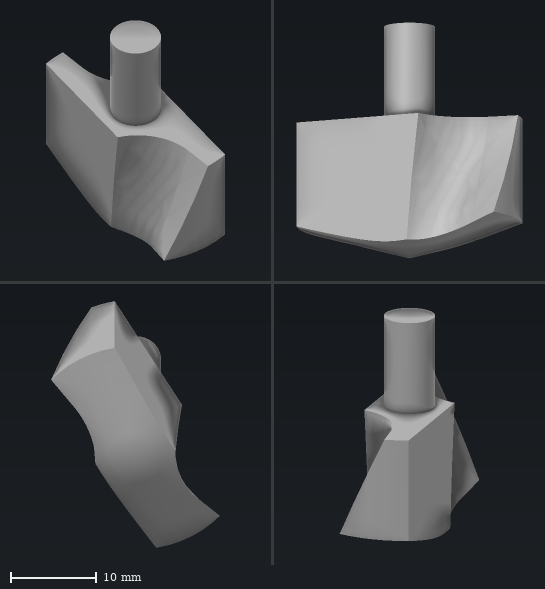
import cadquery as cq
import math

SHANK_DIAMETER = 6.0
SHANK_LENGTH = 11.2

HEAD_DIAMETER = 26.65
HEAD_THICKNESS = 8.97
POINT_HEIGHT = 4.0
OVERALL_LENGTH = 27.6

FLUTE_EDGE_ANGLE = 7.3
FLUTE_ARC_OUTER = 9.75
GULLET_RADIUS = 7.75
TWIST_PER_MM = 2.03
FLUTE_COUNT = 2
OVERSHOOT = 3.0

head_radius = HEAD_DIAMETER / 2
head_height = OVERALL_LENGTH - SHANK_LENGTH


def make_head_blank():
    """Revolved head with a conical point at the origin, flattened to a slab."""
    turned = (
        cq.Workplane("XZ")
        .moveTo(0, 0)
        .lineTo(head_radius, POINT_HEIGHT)
        .lineTo(head_radius, head_height)
        .lineTo(0, head_height)
        .close()
        .revolve(360, (0, 0), (0, 1))
    )
    slab = cq.Workplane("XY").box(
        HEAD_DIAMETER, HEAD_THICKNESS, head_height, centered=(True, True, False)
    )
    return turned.intersect(slab)


def make_flute():
    """Flute on the +X side: a radial cutting face and a tangent gullet arc, twisted along Z."""
    gullet_inner = FLUTE_ARC_OUTER - GULLET_RADIUS
    half_diagonal = GULLET_RADIUS * math.sqrt(0.5)
    gullet_middle = (FLUTE_ARC_OUTER - half_diagonal, half_diagonal - GULLET_RADIUS)
    outer = head_radius + OVERSHOOT
    profile = (
        cq.Workplane("XY")
        .moveTo(outer, 0)
        .lineTo(FLUTE_ARC_OUTER, 0)
        .threePointArc(gullet_middle, (gullet_inner, -GULLET_RADIUS))
        .lineTo(gullet_inner, -outer)
        .lineTo(outer, -outer)
        .close()
    )
    twist = TWIST_PER_MM * head_height
    flute = profile.twistExtrude(head_height, twist)
    return flute.rotate((0, 0, 0), (0, 0, 1), FLUTE_EDGE_ANGLE - twist)


def make_shank():
    """Cylindrical shank on top of the head."""
    return (
        cq.Workplane("XY")
        .workplane(offset=head_height)
        .circle(SHANK_DIAMETER / 2)
        .extrude(SHANK_LENGTH)
    )


drill = make_head_blank()
flute = make_flute()
for index in range(FLUTE_COUNT):
    drill = drill.cut(flute.rotate((0, 0, 0), (0, 0, 1), index * 360 / FLUTE_COUNT))

result = drill.union(make_shank())